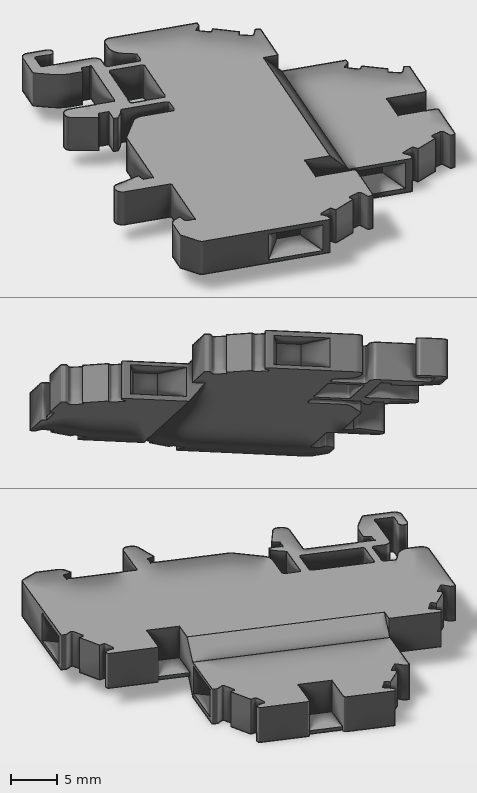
import cadquery as cq
import math

length = 44.4
plate_thickness = 4.15
tier_step = 2.1
upper_width = 22.2
upper_left = 9.32
upper_right = upper_left + upper_width

rail_seat = 6.45
underside = 5.05
cavity_floor = 7.85
cavity_top = 11.9
shoulder = 20.2
wire_end_height = 6.05
main_top = shoulder + wire_end_height
tier_pitch = 13.75
upper_shoulder = shoulder + tier_pitch
upper_top = upper_shoulder + wire_end_height

foot_bottom = 3.8
left_foot_bottom = 9.4
rail_lip = 39.65
claw_width = 4.3
claw_bottom = 0.3
left_claw_face = 14.87
right_claw_face = 29.75
finger_tip = 16.45
gap_right = 16.95
side_gap_right = 5.73
gap_round = 0.35
hook_left = 0.2
hook_floor = 1.25
hook_stem_left = 3.45

step_back = 26.65
step_front = step_back - tier_step
step_front_below = 24.8

pocket_floor = 0.4
pocket_length = 4.05
notch_depth = 0.55
notch_round = 0.3
upper_pocket_width = 3.8
main_pocket_width = 3.7
upper_pocket_left = upper_left + (upper_width - upper_pocket_width) / 2
upper_pocket_right = upper_pocket_left + upper_pocket_width
main_pocket_right = upper_right + main_pocket_width

funnel_mouth = 6.2
funnel_below_shoulder = 0.85
funnel_depth = 4.0
funnel_top_taper = 1.2
funnel_bottom_taper = 2.3
funnel_height = 3.2
thick_wall = 0.55
thin_wall = 0.4

window_left = 6.55
window_right = 13.9
window_round = 0.3


def toward(start, end, distance):
    """Point at a distance from start on the line to end."""
    span = math.dist(start, end)
    return tuple(a + (b - a) * distance / span for a, b in zip(start, end))


def rounded_plate(corners, thickness, base):
    """Extrude a closed outline of (x, y, corner radius) corners upward from Z = base."""
    sketch = cq.Workplane("XY", origin=(0, 0, base))
    for index, (x, y, radius) in enumerate(corners):
        corner = (x, y)
        before = corners[index - 1][:2]
        after = corners[(index + 1) % len(corners)][:2]
        cosine = sum((b - c) * (a - c) for b, a, c in zip(before, after, corner))
        cosine /= math.dist(before, corner) * math.dist(after, corner)
        half_angle = math.acos(cosine) / 2
        setback = radius / math.tan(half_angle)
        arc_start = toward(corner, before, setback)
        arc_end = toward(corner, after, setback)
        sketch = sketch.moveTo(*arc_start) if index == 0 else sketch.lineTo(*arc_start)
        if radius > 0:
            chord_middle = toward(arc_start, arc_end, math.dist(arc_start, arc_end) / 2)
            arc_middle = toward(corner, chord_middle, radius / math.sin(half_angle) - radius)
            sketch = sketch.threePointArc(arc_middle, arc_end)
    return sketch.close().extrude(thickness)


def wire_end(side_x, shoulder_y, inward):
    """Stepped slanted end from the shoulder up to the top edge; inward is +1 or -1 along X."""
    steps = [
        (0.0, 0.0, 0.15),
        (1.4, 0.0, 0.15),
        (3.2, -0.7, 0.18),
        (5.2, 0.8, 0.18),
        (3.9, 1.2, 0.0),
        (7.3, 3.7, 0.0),
        (8.7, 3.4, 0.18),
        (10.2, 4.9, 0.25),
        (7.4, 5.45, 0.18),
        (7.8, wire_end_height, 0.15),
    ]
    return [(side_x + inward * x, shoulder_y + y, radius) for x, y, radius in steps]


def claw(outer_face, outward):
    """Snap claw from its barbed outer face down and back up to the rail seat; outward is +1 or -1."""
    inner_face = outer_face - outward * claw_width
    return [
        (outer_face, 3.9, 0),
        (outer_face + outward * 1.9, 3.65, 0.1),
        (outer_face - outward * 0.7, claw_bottom, 0.8),
        (inner_face, claw_bottom, 0.9),
        (inner_face, rail_seat, 0.2),
    ]


def main_outline():
    """Main tier, clockwise from the left shoulder."""
    step_edge = [
        (upper_left, main_top, 0),
        (upper_left, step_front, 0),
        (upper_right, step_front, 0),
        (upper_right, main_top - notch_depth, 0),
        (main_pocket_right, main_top - notch_depth, 0),
        (main_pocket_right, main_top, notch_round),
    ]
    right_foot = [
        (length, 5.45, 0.65),
        (42.3, foot_bottom, 0.15),
        (39.35, foot_bottom, 0.9),
        (38.65, 5.0, 0.15),
        (rail_lip, 5.35, 0.15),
        (rail_lip, rail_seat, 0),
    ]
    right_claw = claw(right_claw_face, -0.45)[::-1] + [(right_claw_face, underside, 0)]
    flexing_gap = [
        (20.75, underside, 0.45),
        (gap_right, 7.33, 1.35),
        (gap_right, cavity_top, 0.4),
        (left_claw_face, cavity_top, 0.4),
    ]
    finger = [
        (left_claw_face, rail_seat, 0),
        (15.55, 6.15, 0),
        (finger_tip, 5.6, 0),
        (finger_tip, underside, 0),
        (left_claw_face, underside, 0),
    ]
    hook_jaw = [
        (4.9, rail_seat, 0),
        (5.0, 6.2, 0),
        (5.0, 5.35, 0.15),
        (5.85, 5.15, 0.15),
        (5.85, 2.75, 4.0),
        (4.4, 0, 0.4),
    ]
    hook_tip = [
        (hook_left, 0, 0.8),
        (hook_left, 3.5, 0.55),
        (1.4, 3.5, 0.55),
        (1.25, 2.58, 0),
        (1.25, hook_floor, 0.2),
    ]
    hook_stem = [
        (hook_stem_left, hook_floor, 0.2),
        (hook_stem_left, cavity_floor, 0.85),
        (side_gap_right, cavity_floor, gap_round),
        (side_gap_right, cavity_top, gap_round),
    ]
    left_foot = [
        (4.17, cavity_top, 0.18),
        (3.05, left_foot_bottom, 1.78),
        (0, left_foot_bottom, 0.9),
    ]
    return (
        wire_end(0, shoulder, 0.45)
        + step_edge
        + wire_end(length, shoulder, -0.45)[::-1]
        + right_foot
        + right_claw
        + flexing_gap
        + finger
        + claw(left_claw_face, 0.45)
        + hook_jaw
        + hook_tip
        + hook_stem
        + left_foot
    )


def upper_outline():
    """Upper tier, clockwise from the left shoulder."""
    top_notch = [
        (upper_pocket_left, upper_top, notch_round),
        (upper_pocket_left, upper_top - notch_depth, 0),
        (upper_pocket_right, upper_top - notch_depth, 0),
        (upper_pocket_right, upper_top, notch_round),
    ]
    step_edge = [(upper_right, step_back, 0), (upper_left, step_back, 0)]
    return (
        wire_end(upper_left, upper_shoulder, 0.45)
        + top_notch
        + wire_end(upper_right, upper_shoulder, -0.45)[::-1]
        + step_edge
    )


def sloped_step():
    """Slanted web joining the two tiers."""
    return (
        cq.Workplane("YZ", origin=(upper_left, 0, 0))
        .polyline([
            (step_back, 0),
            (step_back, plate_thickness),
            (step_front, plate_thickness + tier_step),
            (step_front, tier_step),
            (step_front_below, tier_step),
        ])
        .close()
        .extrude(upper_width)
    )


def hook_window():
    size_x = window_right - window_left
    size_y = cavity_top - cavity_floor
    return (
        cq.Workplane("XY")
        .box(size_x, size_y, plate_thickness, centered=False)
        .edges("|Z")
        .fillet(window_round)
        .translate((window_left, cavity_floor, tier_step))
    )


def screw_pocket(left, width, tier_top, tier_base):
    """Pocket open upward and toward the top edge, leaving a thin floor."""
    return (
        cq.Workplane("XY")
        .box(width, pocket_length, plate_thickness - pocket_floor, centered=False)
        .translate((left, tier_top - notch_depth - pocket_length, tier_base + pocket_floor))
    )


def wire_funnel(side_x, shoulder_y, inward, base):
    """Tapered wire entry running inward from a side face."""
    mouth_top = shoulder_y - funnel_below_shoulder
    mouth_bottom = mouth_top - funnel_mouth
    inner_x = side_x + inward * funnel_depth
    return (
        cq.Workplane("XY", origin=(0, 0, base))
        .polyline([
            (side_x, mouth_top),
            (inner_x, mouth_top - funnel_top_taper),
            (inner_x, mouth_bottom + funnel_bottom_taper),
            (side_x, mouth_bottom),
        ])
        .close()
        .extrude(funnel_height)
    )


main_tier = rounded_plate(main_outline(), plate_thickness, tier_step).cut(hook_window())
upper_tier = rounded_plate(upper_outline(), plate_thickness, 0)
result = main_tier.union(sloped_step()).union(upper_tier)

result = result.cut(screw_pocket(upper_right, main_pocket_width, main_top, tier_step))
result = result.cut(screw_pocket(upper_pocket_left, upper_pocket_width, upper_top, 0))

main_funnel_base = tier_step + thin_wall
for side_x, inward in ((0, 1), (length, -1)):
    result = result.cut(wire_funnel(side_x, shoulder, inward, main_funnel_base))
for side_x, inward in ((upper_left, 1), (upper_right, -1)):
    result = result.cut(wire_funnel(side_x, upper_shoulder, inward, thick_wall))